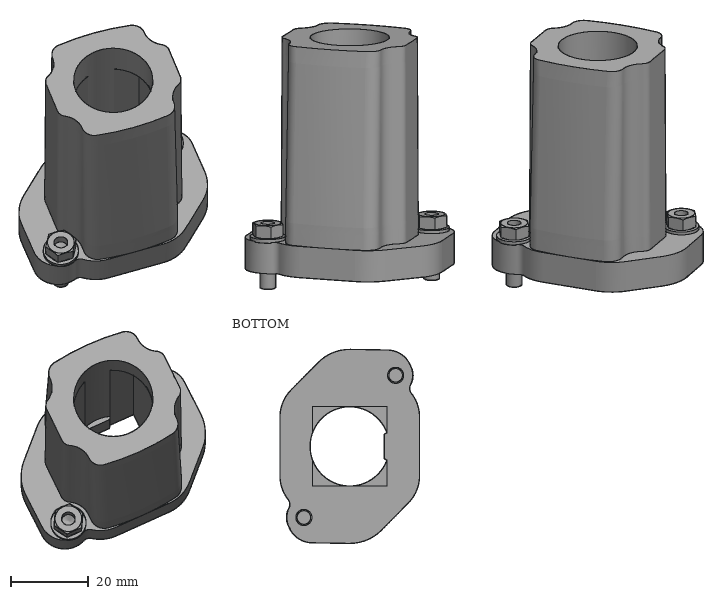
import cadquery as cq
import math

PLATE_BOTTOM = 4.75
PLATE_TOP = 13.0
DRAFT_START = 17.0
TAPER_START = 18.75
CROWN_START = 60.5
BODY_TOP = 64.85

PLATE_HALF_X = 36.0 / 2
PLATE_HALF_Y = 50.0 / 2
CORNER_RADIUS = 10.0
CORNER_Y = 7.5
END_RADIUS = 11.5
BOSS_X, BOSS_Y = -9.6, 18.3
BOSS_RADIUS = 6.55
BOSS_FILLET = 2.0

SCREW_X, SCREW_Y = -11.8, 18.3
STUD_RADIUS = 2.1
STUD_CHAMFER_WIDTH = 0.3
STUD_CHAMFER_HEIGHT = 0.2
WASHER_RADIUS = 4.55
SPOTFACE_DEPTH = 0.2
WASHER_TOP = 13.75
HEAD_TOP = 17.2
HEAD_ACROSS_FLATS = 7.15
HEAD_FACE_RADIUS = 3.45
HEAD_CHAMFER_HEIGHT = 0.25
HEAD_HOLE_RADIUS = 1.75
HEAD_HOLE_DEPTH = 2.3
DRILL_POINT_HEIGHT = 1.05

BODY_HALF_Y = 16.9
SCREW_CLEARANCE_RADIUS = 5.65
TOTAL_DRAFT = 0.2
CROWN_HALF_X = 16.15
TOP_HALF_X = 15.8
BASE_CORNER_RADIUS = 3.7
CROWN_CORNER_RADIUS = 3.55
TOP_CORNER_RADIUS = 3.25
SIDE_BULGE_RADIUS = 64.85
SHOULDER_RADIUS = 2.5

BORE_RADIUS = 10.2
CAVITY_HALF_X = 9.55
CAVITY_HALF_Y = 10.25
CAVITY_TOP = 55.6
KEY_FACE_X = 8.8
KEY_FACE_HALF_WIDTH = 3.1
KEY_ROOT_HALF_WIDTH = 3.55
KEY_EMBEDDING = 0.65


def on_circle(center, radius, angle):
    return (center[0] + radius * math.cos(angle), center[1] + radius * math.sin(angle))


def heading(start, end):
    return math.atan2(end[1] - start[1], end[0] - start[0])


def tangent_angle(center_a, radius_a, center_b, radius_b):
    """Direction, in 0 to 2 pi, of the outer tangent points when going counterclockwise from a to b."""
    spacing = math.dist(center_a, center_b)
    angle = heading(center_a, center_b) - math.acos((radius_a - radius_b) / spacing)
    return angle % math.tau


def half_plate_arcs():
    """Arcs of the -X half of the plate, counterclockwise: (center, radius, first angle, last angle)."""
    boss = (BOSS_X, BOSS_Y)
    corner_x = CORNER_RADIUS - PLATE_HALF_X
    upper_corner = (corner_x, CORNER_Y)
    lower_corner = (corner_x, -CORNER_Y)
    lower_end = (0, END_RADIUS - PLATE_HALF_Y)
    upper_end = (0, -lower_end[1])
    next_boss = (-BOSS_X, -BOSS_Y)

    to_boss = BOSS_RADIUS + BOSS_FILLET
    to_corner = CORNER_RADIUS + BOSS_FILLET
    spacing = math.dist(boss, upper_corner)
    opening = math.acos((to_boss**2 + spacing**2 - to_corner**2) / (2 * to_boss * spacing))
    fillet = on_circle(boss, to_boss, heading(boss, upper_corner) - opening)

    boss_start = tangent_angle(upper_end, END_RADIUS, boss, BOSS_RADIUS)
    lower_slope = tangent_angle(lower_corner, CORNER_RADIUS, lower_end, END_RADIUS)
    end_finish = tangent_angle(lower_end, END_RADIUS, next_boss, BOSS_RADIUS)
    return [
        (boss, BOSS_RADIUS, boss_start, heading(boss, fillet) % math.tau),
        (fillet, BOSS_FILLET, heading(fillet, boss), heading(fillet, upper_corner)),
        (upper_corner, CORNER_RADIUS, heading(upper_corner, fillet) % math.tau, math.pi),
        (lower_corner, CORNER_RADIUS, math.pi, lower_slope),
        (lower_end, END_RADIUS, lower_slope, end_finish),
    ]


def half_turned(arc):
    center, radius, first, last = arc
    return ((-center[0], -center[1]), radius, first + math.pi, last + math.pi)


def mirrored_in_x(arc):
    """Mirror image of an arc across the YZ plane, with its ends swapped to keep the direction of travel."""
    center, radius, first, last = arc
    return ((-center[0], center[1]), radius, math.pi - last, math.pi - first)


def make_outline(arcs, z):
    """Closed wire of the arcs, with straight lines where one arc does not touch the next."""
    touching = 6.49e-07
    center, radius, first, _ = arcs[0]
    position = on_circle(center, radius, first)
    outline = cq.Workplane("XY", origin=(0, 0, z)).moveTo(*position)
    for center, radius, first, last in arcs:
        start = on_circle(center, radius, first)
        if math.dist(position, start) > touching:
            outline = outline.lineTo(*start)
        position = on_circle(center, radius, last)
        outline = outline.threePointArc(on_circle(center, radius, (first + last) / 2), position)
    return outline.close()


def make_plate():
    half = half_plate_arcs()
    arcs = half + [half_turned(arc) for arc in half]
    return make_outline(arcs, PLATE_BOTTOM).extrude(PLATE_TOP - PLATE_BOTTOM)


def body_arcs(z, half_x, corner_radius):
    """Arcs around the body at height z, counterclockwise, with a concave clearance at all four corners."""
    draft = TOTAL_DRAFT * max(0, z - DRAFT_START) / (BODY_TOP - DRAFT_START)
    half_y = BODY_HALF_Y - draft
    clearance_radius = SCREW_CLEARANCE_RADIUS + draft

    screw = (-SCREW_X, SCREW_Y)
    side = (half_x - SIDE_BULGE_RADIUS, 0)
    corner_y = SCREW_Y - clearance_radius - corner_radius
    side_to_corner = SIDE_BULGE_RADIUS - corner_radius
    corner = (side[0] + math.sqrt(side_to_corner**2 - corner_y**2), corner_y)
    shoulder_y = half_y - SHOULDER_RADIUS
    screw_to_shoulder = clearance_radius + SHOULDER_RADIUS
    shoulder_x = screw[0] - math.sqrt(screw_to_shoulder**2 - (SCREW_Y - shoulder_y) ** 2)
    shoulder = (shoulder_x, shoulder_y)

    side_angle = heading(side, corner)
    up = math.pi / 2
    quarter = [
        (corner, corner_radius, side_angle, up),
        (screw, clearance_radius, -up, heading(screw, shoulder)),
        (shoulder, SHOULDER_RADIUS, heading(shoulder, screw), up),
    ]
    mirrored = [mirrored_in_x(arc) for arc in reversed(quarter)]
    half = [(side, SIDE_BULGE_RADIUS, -side_angle, side_angle)] + quarter + mirrored
    return half + [half_turned(arc) for arc in half]


def make_body():
    sections = [
        (PLATE_TOP, PLATE_HALF_X, BASE_CORNER_RADIUS),
        (DRAFT_START, PLATE_HALF_X, BASE_CORNER_RADIUS),
        (TAPER_START, PLATE_HALF_X, BASE_CORNER_RADIUS),
        (CROWN_START, CROWN_HALF_X, CROWN_CORNER_RADIUS),
        (BODY_TOP, TOP_HALF_X, TOP_CORNER_RADIUS),
    ]
    wires = [make_outline(body_arcs(*section), section[0]).val() for section in sections]
    return cq.Workplane(cq.Solid.makeLoft(wires, True))


def cut_interior(solid):
    bore_height = BODY_TOP - PLATE_BOTTOM
    bore = cq.Workplane("XY", origin=(0, 0, PLATE_BOTTOM)).circle(BORE_RADIUS).extrude(bore_height)
    cavity = (
        cq.Workplane("XY", origin=(0, 0, PLATE_BOTTOM))
        .rect(2 * CAVITY_HALF_X, 2 * CAVITY_HALF_Y)
        .extrude(CAVITY_TOP - PLATE_BOTTOM)
    )
    return solid.cut(bore).cut(cavity)


def make_key():
    """Rib on the +X wall of the bore, with bevelled flanks, as tall as the plate."""
    root_x = BORE_RADIUS + KEY_EMBEDDING
    return (
        cq.Workplane("XY", origin=(0, 0, PLATE_BOTTOM))
        .polyline([
            (root_x, -KEY_ROOT_HALF_WIDTH),
            (CAVITY_HALF_X, -KEY_ROOT_HALF_WIDTH),
            (KEY_FACE_X, -KEY_FACE_HALF_WIDTH),
            (KEY_FACE_X, KEY_FACE_HALF_WIDTH),
            (CAVITY_HALF_X, KEY_ROOT_HALF_WIDTH),
            (root_x, KEY_ROOT_HALF_WIDTH),
        ])
        .close()
        .extrude(PLATE_TOP - PLATE_BOTTOM)
    )


def make_head():
    """Hexagon head with flats facing +X and -X, chamfered at both ends, with a drilled top."""
    corner_radius = HEAD_ACROSS_FLATS / math.sqrt(3)
    hexagon = (
        cq.Workplane("XY", origin=(0, 0, WASHER_TOP))
        .polygon(6, 2 * corner_radius)
        .extrude(HEAD_TOP - WASHER_TOP)
        .rotate((0, 0, 0), (0, 0, 1), 30)
    )
    chamfered_round = (
        cq.Workplane("XZ")
        .polyline([
            (0, WASHER_TOP),
            (HEAD_FACE_RADIUS, WASHER_TOP),
            (corner_radius, WASHER_TOP + HEAD_CHAMFER_HEIGHT),
            (corner_radius, HEAD_TOP - HEAD_CHAMFER_HEIGHT),
            (HEAD_FACE_RADIUS, HEAD_TOP),
            (0, HEAD_TOP),
        ])
        .close()
        .revolve(360, (0, 0), (0, 1))
    )
    hole_bottom = HEAD_TOP - HEAD_HOLE_DEPTH
    drilled_hole = (
        cq.Workplane("XZ")
        .polyline([
            (0, hole_bottom - DRILL_POINT_HEIGHT),
            (HEAD_HOLE_RADIUS, hole_bottom),
            (HEAD_HOLE_RADIUS, HEAD_TOP),
            (0, HEAD_TOP),
        ])
        .close()
        .revolve(360, (0, 0), (0, 1))
    )
    return hexagon.intersect(chamfered_round).cut(drilled_hole)


def make_screw():
    """Screw on the Z axis: stud, washer sunk in its spotface, and head."""
    washer_bottom = PLATE_TOP - SPOTFACE_DEPTH
    shank = (
        cq.Workplane("XZ")
        .polyline([
            (0, 0),
            (STUD_RADIUS - STUD_CHAMFER_WIDTH, 0),
            (STUD_RADIUS, STUD_CHAMFER_HEIGHT),
            (STUD_RADIUS, washer_bottom),
            (WASHER_RADIUS, washer_bottom),
            (WASHER_RADIUS, WASHER_TOP),
            (0, WASHER_TOP),
        ])
        .close()
        .revolve(360, (0, 0), (0, 1))
    )
    return shank.union(make_head())


housing = cut_interior(make_plate().union(make_body())).union(make_key())
screw = make_screw()
result = housing
for turn in (1, -1):
    result = result.union(screw.translate((turn * SCREW_X, turn * SCREW_Y, 0)))